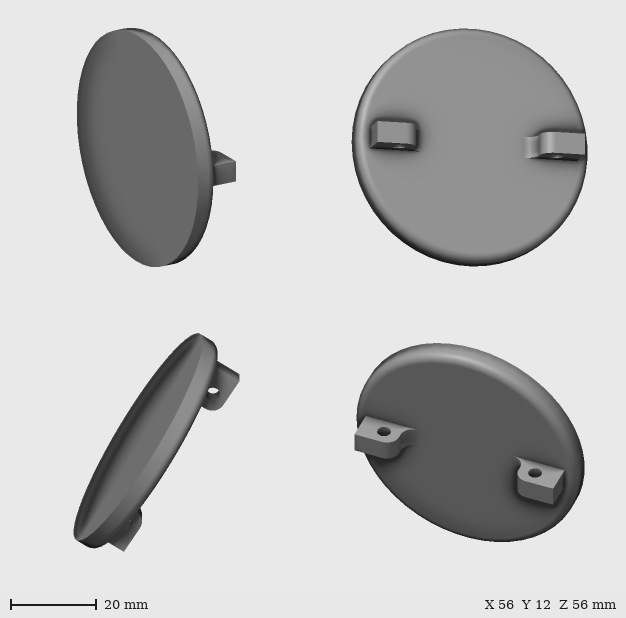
import cadquery as cq

plate_diameter = 56
plate_thickness = 5.0
plate_edge_radius = 2.0
overall_depth = 12.0

lug_outer_x = 25.0
lug_inner_x = 15.0
lug_height = 5.0
lug_corner_radius = 3.0
lug_root_radius = 3.0
hole_diameter = 3.2
hole_x = 19.0
lug_length = overall_depth - plate_thickness
hole_y = plate_thickness + lug_length / 2


def make_plate():
    """Disc with its back rim rounded."""
    disc = cq.Workplane("XZ").circle(plate_diameter / 2).extrude(-plate_thickness)
    return disc.faces(">Y").edges().fillet(plate_edge_radius)


def make_lug():
    """Lug on the +X side, with a rounded inner corner, a flared root and a cross hole."""
    outline = (
        cq.Workplane("XY")
        .moveTo(lug_outer_x, plate_thickness)
        .lineTo(lug_outer_x, overall_depth)
        .lineTo(lug_inner_x + lug_corner_radius, overall_depth)
        .radiusArc((lug_inner_x, overall_depth - lug_corner_radius), -lug_corner_radius)
        .lineTo(lug_inner_x, plate_thickness + lug_root_radius)
        .radiusArc((lug_inner_x - lug_root_radius, plate_thickness), lug_root_radius)
        .close()
    )
    lug = outline.extrude(lug_height / 2, both=True)
    hole = (
        cq.Workplane("XY")
        .center(hole_x, hole_y)
        .circle(hole_diameter / 2)
        .extrude(lug_height, both=True)
    )
    return lug.cut(hole)


lug = make_lug()
result = make_plate().union(lug).union(lug.mirror("YZ"))